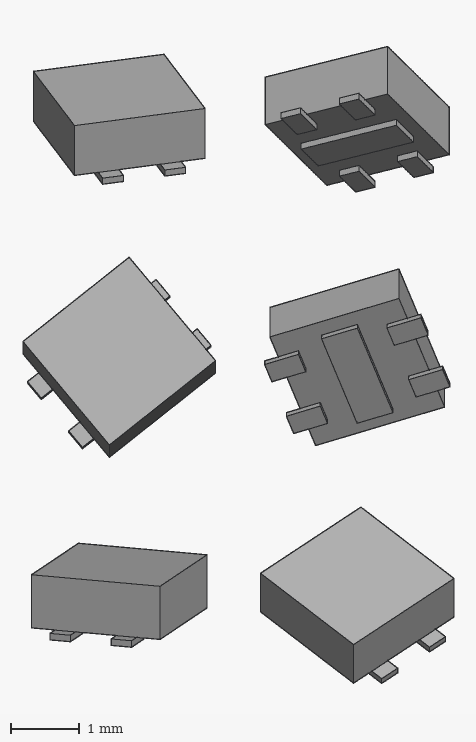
import cadquery as cq

overall_length = 2.42
overall_height = 0.9
body_side = 2.0

lead_thickness = 0.1
lead_length = 0.525
lead_width = 0.32
lead_pitch = 0.95

pad_length = 0.555
pad_width = 1.554

body_height = overall_height - lead_thickness
lead_center_x = (overall_length - lead_length) / 2


def make_plate(length, width, height, center_x=0, center_y=0, bottom_z=0):
    """Rectangular block centred in X and Y and standing on bottom_z."""
    block = cq.Workplane("XY").box(length, width, height, centered=(True, True, False))
    return block.translate((center_x, center_y, bottom_z))


def make_lead(side_x, side_y):
    """One lead in the quadrant given by the signs side_x and side_y."""
    return make_plate(
        lead_length,
        lead_width,
        lead_thickness,
        center_x=side_x * lead_center_x,
        center_y=side_y * lead_pitch / 2,
    )


housing = make_plate(body_side, body_side, body_height, bottom_z=lead_thickness)

thermal_pad = make_plate(pad_length, pad_width, lead_thickness)

leads = []
for side_x in (-1, 1):
    for side_y in (-1, 1):
        leads.append(make_lead(side_x, side_y).val())

result = cq.Compound.makeCompound([housing.val(), thermal_pad.val(), *leads])